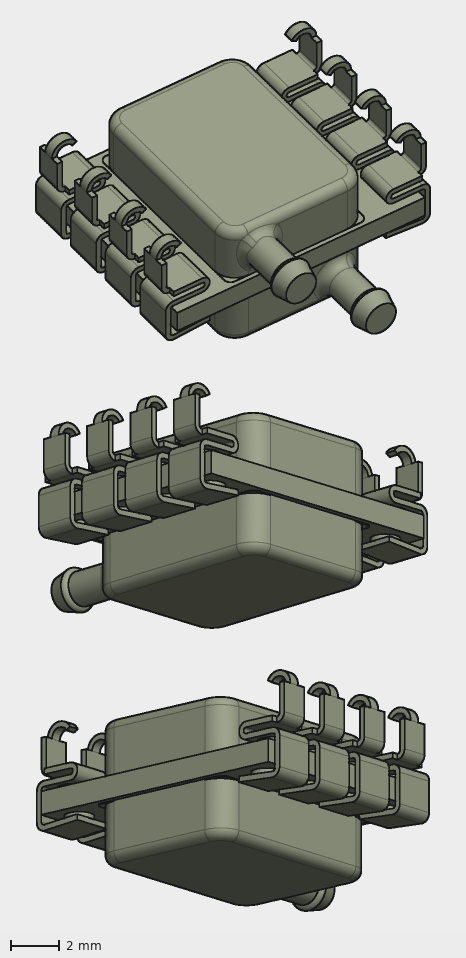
import cadquery as cq
import math

board_length = 9.9
board_depth = 12.5
board_thickness = 1.01
board_top = board_thickness / 2

housing_length = 9.4
housing_depth = 7.0
housing_height = 6.17
housing_corner_radius = 1.0
housing_edge_radius = 0.43
housing_x = 0.03
housing_z = -0.01
housing_end = housing_x + housing_length / 2

flange_height = 0.03
flange_corner_radius = 0.32

port_radius = 0.76
port_offset_y = 2.02
port_offset_z = 1.9
port_tip = 7.88
port_root_radius = 0.47
root_margin = 0.07
barb_radius = 0.96
barb_length = 1.0
barb_round_radius = 0.24

lead_pitch = 2.54
leads_per_side = 4
lead_thickness = 0.25
lead_width = 1.85
tab_width = 1.27
hook_width = 0.5
lead_outer_y = 6.68
wall_y = lead_outer_y - lead_thickness / 2
bend_inner_radius = 0.15
bend_radius = bend_inner_radius + lead_thickness / 2
fold_gap = 0.27
fold_radius = (fold_gap + lead_thickness) / 2
hook_outer_radius = 0.67
hook_radius = hook_outer_radius - lead_thickness / 2
hook_sweep = 150
bend_y = wall_y - bend_radius
fold_y = 4.83
foot_end_y = 4.45
foot_tilt = 4
foot_bend_z = -0.73
lower_arm_z = 0.9
upper_arm_z = lower_arm_z + 2 * fold_radius
tab_top = 3.0

disc_height = 0.35
upper_disc_radius = 0.64
upper_disc_y = 5.5
lower_disc_radius = 0.63
lower_disc_y = 5.14


def make_board():
    return cq.Workplane("XY").box(board_length, board_depth, board_thickness)


def make_flange():
    height = board_thickness + 2 * flange_height
    flange = cq.Workplane("XY").box(housing_length, housing_depth, height)
    return flange.edges("|Z").fillet(flange_corner_radius).translate((housing_x, 0, housing_z))


def make_port_blank(y, z):
    """Plain port cylinder, rooted inside the housing and ending at the tip."""
    root = housing_end - housing_corner_radius
    return cq.Workplane("YZ", origin=(root, y, z)).circle(port_radius).extrude(port_tip - root)


def make_barb(y, z):
    """Tapered barb revolved about the port axis, with a rounded shoulder."""
    start = port_tip - barb_length
    rim = start + barb_round_radius
    return (
        cq.Workplane("XY", origin=(0, y, z))
        .moveTo(start, 0)
        .lineTo(start, barb_radius - barb_round_radius)
        .radiusArc((rim, barb_radius), barb_round_radius)
        .lineTo(port_tip, port_radius)
        .lineTo(port_tip, 0)
        .close()
        .revolve(360, (0, 0, 0), (1, 0, 0))
    )


def port_root(y, z):
    """Selector for the edge loop where a port meets the housing."""
    reach = port_radius + root_margin
    return cq.selectors.BoxSelector(
        (housing_end - housing_edge_radius, y - reach, z - reach),
        (housing_end + root_margin, y + reach, z + reach),
        boundingbox=True,
    )


def make_housing():
    """Rounded block with two ports blended into its +X end."""
    ports = (
        (-port_offset_y, housing_z + port_offset_z),
        (port_offset_y, housing_z - port_offset_z),
    )
    housing = cq.Workplane("XY").box(housing_length, housing_depth, housing_height)
    housing = housing.edges("|Z").fillet(housing_corner_radius)
    housing = housing.faces("|Z").edges().fillet(housing_edge_radius)
    housing = housing.translate((housing_x, 0, housing_z))
    for y, z in ports:
        housing = housing.union(make_port_blank(y, z))
    for y, z in ports:
        housing = housing.edges(port_root(y, z)).fillet(port_root_radius)
    for y, z in ports:
        housing = housing.union(make_barb(y, z))
    return housing


def make_strip(path, width, start, direction):
    """Sweep a flat strip section along a bend path lying in the YZ plane."""
    section = cq.Plane(origin=(0, *start), xDir=(1, 0, 0), normal=(0, *direction))
    return cq.Workplane(section).rect(width, lead_thickness).sweep(path)


def on_circle(center_y, center_z, radius, angle):
    """Point on a circle in the YZ plane, with the angle in degrees from +Y."""
    turn = math.radians(angle)
    return (center_y + radius * math.cos(turn), center_z + radius * math.sin(turn))


def make_clip():
    """Full-width strip: tilted foot, wall outside the board edge, hairpin arms."""
    tilt = math.radians(foot_tilt)
    foot_start = on_circle(bend_y, foot_bend_z, bend_radius, -90 - foot_tilt)
    foot_length = (foot_start[0] - foot_end_y) / math.cos(tilt)
    foot_end = (foot_end_y, foot_start[1] + foot_length * math.sin(tilt))
    upper_bend_z = lower_arm_z - bend_radius
    path = (
        cq.Workplane("YZ")
        .moveTo(*foot_end)
        .lineTo(*foot_start)
        .threePointArc(on_circle(bend_y, foot_bend_z, bend_radius, -45), (wall_y, foot_bend_z))
        .lineTo(wall_y, upper_bend_z)
        .threePointArc(on_circle(bend_y, upper_bend_z, bend_radius, 45), (bend_y, lower_arm_z))
        .lineTo(fold_y, lower_arm_z)
        .threePointArc((fold_y - fold_radius, lower_arm_z + fold_radius), (fold_y, upper_arm_z))
        .lineTo(bend_y, upper_arm_z)
    )
    return make_strip(path, lead_width, foot_end, (math.cos(tilt), -math.sin(tilt)))


def make_tab():
    """Narrower strip turning up from the upper arm."""
    center_z = upper_arm_z + bend_radius
    path = (
        cq.Workplane("YZ")
        .moveTo(bend_y, upper_arm_z)
        .threePointArc(on_circle(bend_y, center_z, bend_radius, -45), (wall_y, center_z))
        .lineTo(wall_y, tab_top)
    )
    return make_strip(path, tab_width, (bend_y, upper_arm_z), (1, 0))


def make_hook():
    """Narrow hook curling inward from the top of the tab."""
    center_y = wall_y - hook_radius
    path = (
        cq.Workplane("YZ")
        .moveTo(wall_y, tab_top)
        .threePointArc(
            on_circle(center_y, tab_top, hook_radius, hook_sweep / 2),
            on_circle(center_y, tab_top, hook_radius, hook_sweep),
        )
    )
    return make_strip(path, hook_width, (wall_y, tab_top), (0, 1))


def make_discs():
    """Solder discs above and below the board."""
    upper = cq.Workplane("XY", origin=(0, upper_disc_y, board_top))
    upper = upper.circle(upper_disc_radius).extrude(disc_height)
    lower = cq.Workplane("XY", origin=(0, lower_disc_y, -board_top))
    lower = lower.circle(lower_disc_radius).extrude(-disc_height)
    return upper.union(lower)


def make_lead():
    return make_clip().union(make_tab()).union(make_hook()).union(make_discs())


result = make_board().union(make_flange()).union(make_housing())

lead = make_lead()
opposite_lead = lead.mirror("XZ")
for index in range(leads_per_side):
    lead_x = (index - (leads_per_side - 1) / 2) * lead_pitch
    result = result.union(lead.translate((lead_x, 0, 0)))
    result = result.union(opposite_lead.translate((lead_x, 0, 0)))